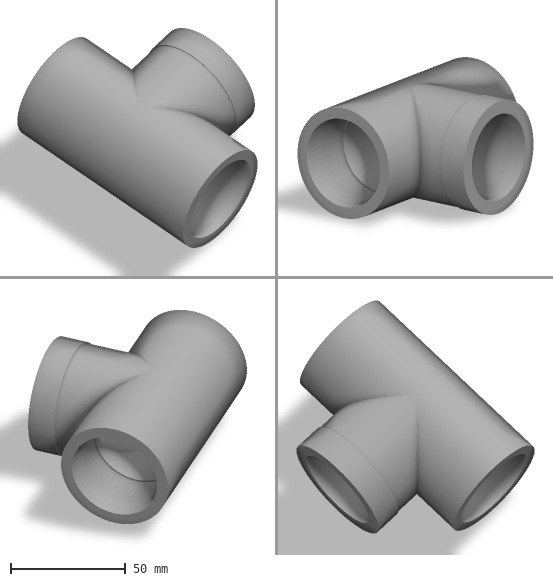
import cadquery as cq

run_length = 95.0
pipe_diameter = 50.0
run_bore = 38.5
socket_diameter = 40.0

socket_depth = 26.0

branch_reach = 48.9
collar_diameter = 51.0
collar_length = 12.2
branch_bore = 36.5
branch_socket_diameter = 38.95

def run_cylinder(diameter, start, length):
    """Cylinder on the run axis, from x = start toward +X."""
    return cq.Workplane("YZ", origin=(start, 0, 0)).circle(diameter / 2).extrude(length)

def branch_cylinder(diameter, start, length):
    """Cylinder on the branch axis, from y = start toward +Y."""
    return cq.Workplane("XZ", origin=(0, start, 0)).circle(diameter / 2).extrude(-length)

body = run_cylinder(pipe_diameter, -run_length / 2, run_length)
body = body.union(branch_cylinder(pipe_diameter, 0, branch_reach))
body = body.union(branch_cylinder(collar_diameter, branch_reach - collar_length, collar_length))

body = body.cut(run_cylinder(run_bore, -run_length / 2, run_length))
body = body.cut(branch_cylinder(branch_bore, 0, branch_reach))

for socket_start in (-run_length / 2, run_length / 2 - socket_depth):
    body = body.cut(run_cylinder(socket_diameter, socket_start, socket_depth))
body = body.cut(branch_cylinder(branch_socket_diameter, branch_reach - socket_depth, socket_depth))

result = body